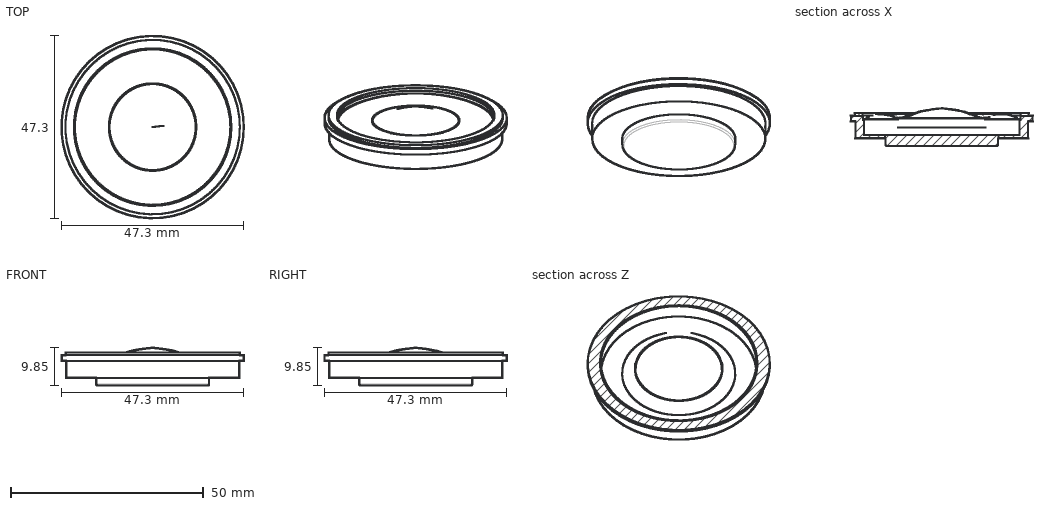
import cadquery as cq


frame_bottom = 2.0
flange_bottom = 6.4
flange_top = 7.9
ring_top = 8.6
shelf_height = 6.85
floor_thickness = 0.95
floor_top = frame_bottom + floor_thickness

flange_radius = 23.65
frame_radius = 22.45
ring_radius = 22.6
ring_bore_radius = 20.45
diaphragm_radius = 20.35
shelf_inner_radius = 20.15
yoke_radius = 14.65
yoke_edge_fillet = 0.43

film_thickness = 0.1
rim_height = shelf_height + film_thickness
valley_height = 7.25
dome_points = [
    (0, 9.85),
    (3.8, 9.35),
    (6.6, 8.65),
    (8.05, 8.05),
    (9.45, 7.6),
]
surround_points = [
    (13.25, 7.9),
    (14.65, 8.25),
    (16.1, 8.3),
    (17.5, 8.2),
    (19.4, 7.45),
]
rim_point = (diaphragm_radius, rim_height)

coil_inner_radius = 11.15
coil_outer_radius = 11.35
coil_length = 2.35
coil_top = valley_height - film_thickness
valley_points = [
    (coil_inner_radius, valley_height),
    (coil_outer_radius, valley_height),
]


def revolve_about_axis(outline):
    """Turn a closed (radius, height) outline into a full body of revolution about Z."""
    return outline.revolve(360, (0, 0, 0), (0, 1, 0))


def lowered(points):
    """Points of the underside, one film thickness below the upper surface."""
    return [(radius, height - film_thickness) for radius, height in points]


def make_frame():
    """Flanged cup with a shelf for the diaphragm and a hole in its floor for the yoke."""
    outline = (
        cq.Workplane("XZ")
        .moveTo(yoke_radius, frame_bottom)
        .lineTo(frame_radius, frame_bottom)
        .lineTo(frame_radius, flange_bottom)
        .lineTo(flange_radius, flange_bottom)
        .lineTo(flange_radius, flange_top)
        .lineTo(diaphragm_radius, flange_top)
        .lineTo(diaphragm_radius, shelf_height)
        .lineTo(shelf_inner_radius, shelf_height)
        .lineTo(shelf_inner_radius, floor_top)
        .lineTo(yoke_radius, floor_top)
        .close()
    )
    return revolve_about_axis(outline)


def make_retaining_ring():
    """Flat ring lying on the flange."""
    return (
        cq.Workplane("XY", origin=(0, 0, flange_top))
        .circle(ring_radius)
        .circle(ring_bore_radius)
        .extrude(ring_top - flange_top)
    )


def make_diaphragm():
    """Thin film: dome, valley with a flat land below for the coil, surround and a narrow rim foot."""
    upper_points = dome_points + valley_points + surround_points + [rim_point]
    dome_underside = lowered(dome_points + valley_points[:1])
    surround_underside = lowered(valley_points[1:] + surround_points)
    outline = (
        cq.Workplane("XZ")
        .spline(upper_points)
        .lineTo(diaphragm_radius, shelf_height)
        .lineTo(shelf_inner_radius, shelf_height)
        .spline(surround_underside[::-1], includeCurrent=True)
        .lineTo(*dome_underside[-1])
        .spline(dome_underside[-2::-1], includeCurrent=True)
        .close()
    )
    return revolve_about_axis(outline)


def make_voice_coil():
    """Thin tube under the valley of the diaphragm."""
    return (
        cq.Workplane("XY", origin=(0, 0, coil_top))
        .circle(coil_outer_radius)
        .circle(coil_inner_radius)
        .extrude(-coil_length)
    )


def make_yoke():
    """Disc plugged into the frame floor, with a rounded lower edge."""
    disc = cq.Workplane("XY").circle(yoke_radius).extrude(floor_top)
    return disc.faces("<Z").edges().fillet(yoke_edge_fillet)


frame = make_frame()
retaining_ring = make_retaining_ring()
diaphragm = make_diaphragm()
voice_coil = make_voice_coil()
yoke = make_yoke()

result = cq.Compound.makeCompound(
    [
        frame.val(),
        retaining_ring.val(),
        diaphragm.val(),
        voice_coil.val(),
        yoke.val(),
    ]
)